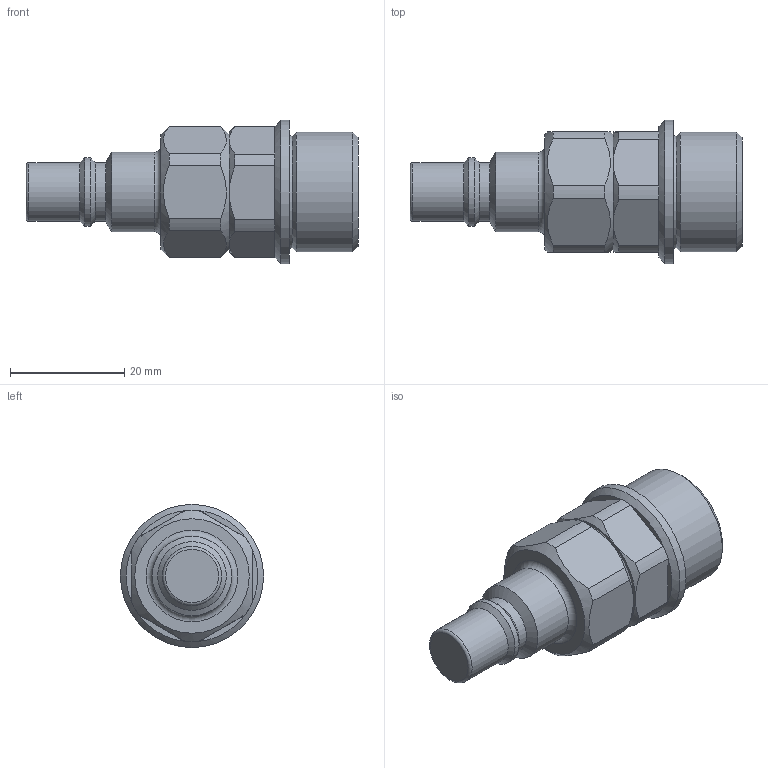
import cadquery as cq


nose_d = 10.3
nose_fillet = 0.5
ring_d = 12.0
ring_start = 9.4
ring_crest_length = 1.0
ring_flank = (ring_d - nose_d) / 2
collar_d = 13.9
collar_cone_start = 13.9
collar_cone_length = 1.04

across_flats = 21.0
corner_d = 23.0
hex_sides = 6
front_nut_start = 23.5
front_nut_end = 35.5
front_nut_end_d = 20.0
rear_nut_end = 43.5
rear_nut_chamfer = 1.0
rear_nut_turn = 0.7
root_fillet = 1.05
front_nut_chamfer = (corner_d - front_nut_end_d) / 2

flange_d = 25.0
flange_chamfer = (flange_d - corner_d) / 2
flange_end = 46.0
undercut_wall_d = 19.9
undercut_d = 19.5
undercut_x = 46.5
thread_d = 20.95
thread_chamfer = 1.0
total_length = 58.0


def turned_body():
    """Revolve the complete half profile about the X axis."""
    ring_crest_start = ring_start + ring_flank
    ring_crest_end = ring_crest_start + ring_crest_length
    collar_r = collar_d / 2
    nut_r = corner_d / 2
    thread_start = undercut_x + (thread_d - undercut_d) / 2
    profile = (
        cq.Workplane("XY")
        .moveTo(0, 0)
        .lineTo(0, nose_d / 2 - nose_fillet)
        .radiusArc((nose_fillet, nose_d / 2), nose_fillet)
        .lineTo(ring_start, nose_d / 2)
        .lineTo(ring_crest_start, ring_d / 2)
        .lineTo(ring_crest_end, ring_d / 2)
        .lineTo(ring_crest_end + ring_flank, nose_d / 2)
        .lineTo(collar_cone_start, nose_d / 2)
        .lineTo(collar_cone_start + collar_cone_length, collar_r)
        .lineTo(front_nut_start - root_fillet, collar_r)
        .tangentArcPoint((front_nut_start, collar_r + root_fillet), relative=False)
        .lineTo(front_nut_start, front_nut_end_d / 2)
        .lineTo(front_nut_start + front_nut_chamfer, nut_r)
        .lineTo(front_nut_end - front_nut_chamfer, nut_r)
        .lineTo(front_nut_end, front_nut_end_d / 2)
        .lineTo(front_nut_end, nut_r - rear_nut_chamfer)
        .lineTo(front_nut_end + rear_nut_chamfer, nut_r)
        .lineTo(rear_nut_end, nut_r)
        .lineTo(rear_nut_end + flange_chamfer, flange_d / 2)
        .lineTo(flange_end, flange_d / 2)
        .lineTo(flange_end, undercut_wall_d / 2)
        .lineTo(undercut_x, undercut_d / 2)
        .lineTo(thread_start, thread_d / 2)
        .lineTo(total_length - thread_chamfer, thread_d / 2)
        .lineTo(total_length, thread_d / 2 - thread_chamfer)
        .lineTo(total_length, 0)
        .close()
    )
    return profile.revolve(360, (0, 0, 0), (1, 0, 0))


def hex_flat_cutters(start, end, turn):
    """Blocks that cut six flats between two stations, the pattern turned about X."""
    block = (
        cq.Workplane("XY")
        .box(end - start, corner_d, corner_d, centered=(False, False, True))
        .translate((start, across_flats / 2, 0))
    )
    return [
        block.rotate((0, 0, 0), (1, 0, 0), turn + side * 360 / hex_sides)
        for side in range(hex_sides)
    ]


result = turned_body()
for cutter in hex_flat_cutters(front_nut_start, front_nut_end, 0):
    result = result.cut(cutter)
for cutter in hex_flat_cutters(front_nut_end, rear_nut_end, rear_nut_turn):
    result = result.cut(cutter)